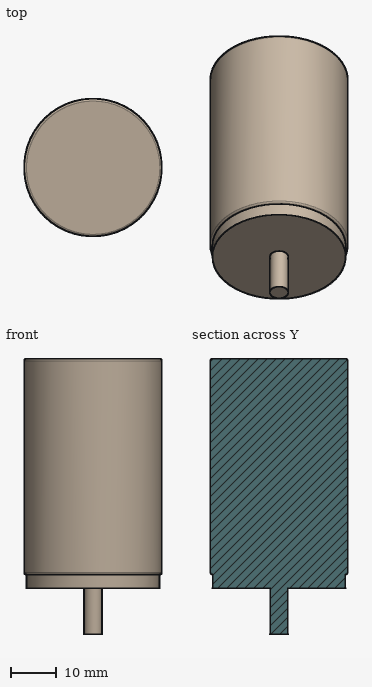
import cadquery as cq

body_diameter = 30.0
body_length = 47.0
edge_radius = 0.5
base_diameter = body_diameter - 2 * edge_radius
base_height = 3.0
shaft_diameter = 4.0
shaft_length = 10.0


def cylinder(diameter, height, bottom_z):
    """Solid cylinder on the Z axis, rising from bottom_z."""
    return cq.Workplane("XY").workplane(offset=bottom_z).circle(diameter / 2).extrude(height)


def make_body():
    """Main can, with both rims rounded."""
    can = cylinder(body_diameter, body_length, base_height)
    return can.faces("<Z or >Z").edges().fillet(edge_radius)


base = cylinder(base_diameter, base_height, 0)
shaft = cylinder(shaft_diameter, shaft_length, -shaft_length)

result = make_body().union(base).union(shaft)